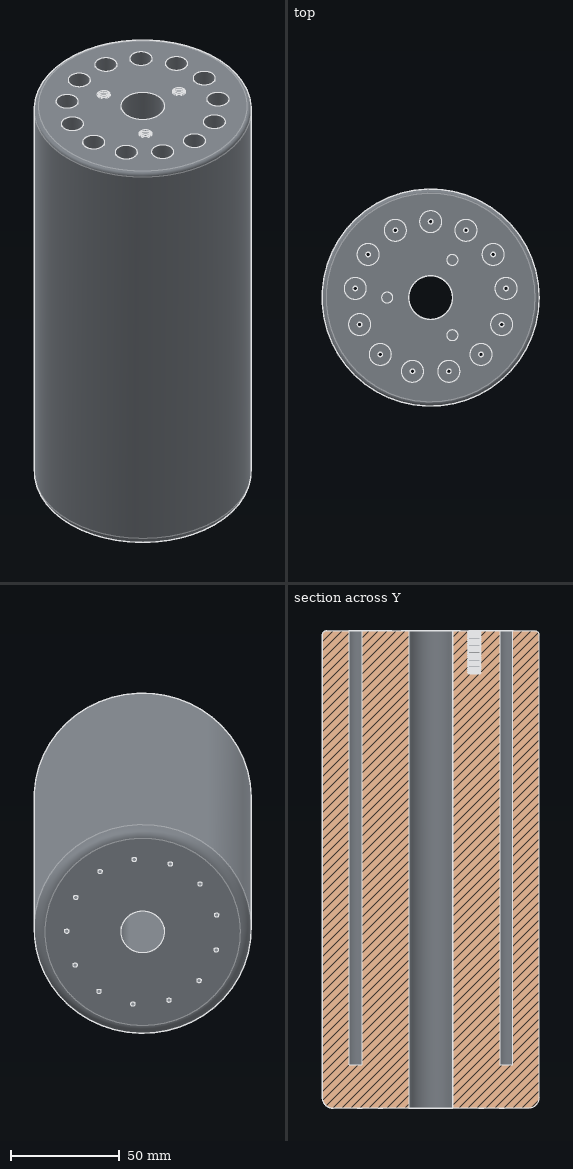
import cadquery as cq

body_height = 220
body_diameter = 100.0
top_fillet = 2.0
bottom_fillet = 5.0

bore_diameter = 20.0

ring_hole_count = 13
ring_radius = 35.0
ring_hole_diameter = 10.1
fine_hole_diameter = 2.0
ring_floor_thickness = 20.0
ring_hole_depth = body_height - ring_floor_thickness

fixing_hole_count = 3
fixing_ring_radius = 20.0
fixing_hole_diameter = 5.0
fixing_thread_diameter = 6.2
fixing_thread_pitch = 1.0
fixing_thread_turns = 20
fixing_hole_depth = fixing_thread_pitch * fixing_thread_turns

ring_start_angle = 90
fixing_start_angle = 180


def make_body():
    """Solid cylinder standing on the XY plane, rounded at both rims."""
    cylinder = cq.Workplane("XY").circle(body_diameter / 2).extrude(body_height)
    rounded_top = cylinder.faces(">Z").edges().fillet(top_fillet)
    return rounded_top.faces("<Z").edges().fillet(bottom_fillet)


def top_ring(radius, start_angle, count):
    """Evenly spaced hole centres on the top face."""
    top_plane = cq.Workplane("XY", origin=(0, 0, body_height))
    return top_plane.polarArray(radius, start_angle, 360, count)


def central_bore():
    return cq.Workplane("XY").circle(bore_diameter / 2).extrude(body_height)


def ring_holes():
    centres = top_ring(ring_radius, ring_start_angle, ring_hole_count)
    wide = centres.circle(ring_hole_diameter / 2).extrude(-ring_hole_depth)
    fine = centres.circle(fine_hole_diameter / 2).extrude(-body_height)
    return wide.union(fine)


def threaded_cutter():
    """Blind hole along -Z from the origin, widened by one V groove per thread pitch."""
    inner = fixing_hole_diameter / 2
    outer = fixing_thread_diameter / 2
    profile = cq.Workplane("XZ").lineTo(inner, 0)
    for turn in range(fixing_thread_turns):
        groove_top = -turn * fixing_thread_pitch
        profile = profile.lineTo(outer, groove_top - fixing_thread_pitch / 2)
        profile = profile.lineTo(inner, groove_top - fixing_thread_pitch)
    return profile.lineTo(0, -fixing_hole_depth).close().revolve(360, (0, 0, 0), (0, 1, 0))


def fixing_holes():
    cutter = threaded_cutter().val()
    centres = top_ring(fixing_ring_radius, fixing_start_angle, fixing_hole_count)
    return centres.eachpoint(lambda place: cutter.moved(place), combine=False)


result = make_body().cut(central_bore()).cut(ring_holes()).cut(fixing_holes())